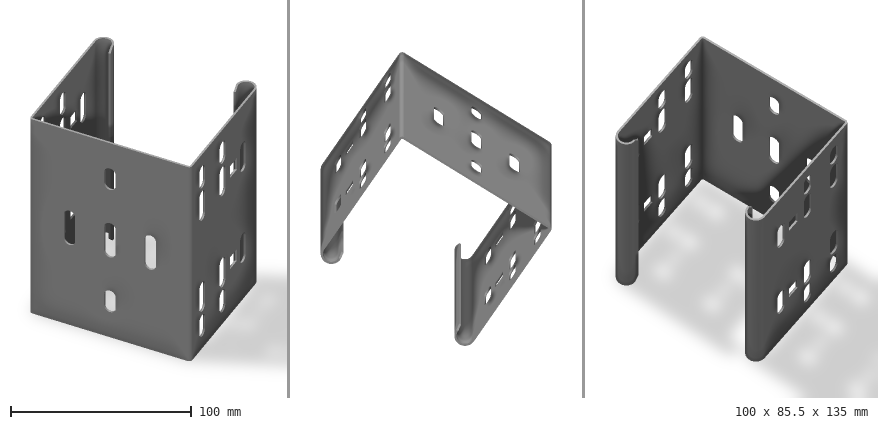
import cadquery as cq

width = 100.0
depth = 85.5
height = 135.0
sheet = 1.25

corner_radius = 2.0
hook_radius = 6.0
hook_lip = 3.2
lip_chamfer = 3.1

slot_width = 7.0
short_slot = 14.8
column_pitch = 25.0

web_long_slot = 23.8
web_short_slot_z = 42.5

flange_long_slot = 20.0
narrow_slot_width = 6.6
inner_row_z = 31.7
outer_row_z = 51.7
first_column = 14.0
square_size = 8.1
square_column = 52.5

half_width = width / 2
web_y = -depth / 2
hook_x = half_width - hook_radius
hook_y = depth / 2 - hook_radius
lip_x = hook_x - hook_radius
lip_end_y = hook_y - hook_lip


def edge_near(x, y, z=0):
    """Selector for the edge closest to a point."""
    return cq.selectors.NearestToPointSelector((x, y, z))


def half_channel():
    """Half of the web and the +X flange, which is rolled inwards at its free end."""
    inner_x = half_width - sheet
    inner_y = web_y + sheet
    inner_hook_radius = hook_radius - sheet

    profile = (
        cq.Workplane("XY")
        .moveTo(0, web_y)
        .lineTo(half_width, web_y)
        .lineTo(half_width, hook_y)
        .threePointArc((hook_x, hook_y + hook_radius), (lip_x, hook_y))
        .lineTo(lip_x, lip_end_y)
        .lineTo(lip_x + sheet, lip_end_y)
        .lineTo(lip_x + sheet, hook_y)
        .threePointArc((hook_x, hook_y + inner_hook_radius), (inner_x, hook_y))
        .lineTo(inner_x, inner_y)
        .lineTo(0, inner_y)
        .close()
    )
    half = profile.extrude(height / 2, both=True)
    half = half.edges(edge_near(half_width, web_y)).fillet(corner_radius)
    half = half.edges(edge_near(inner_x, inner_y)).fillet(corner_radius - sheet)
    for end_z in (-height / 2, height / 2):
        half = half.edges(edge_near(lip_x + sheet / 2, lip_end_y, end_z)).chamfer(lip_chamfer)
    return half


def channel():
    """Complete U-shaped sheet, symmetric about the YZ plane."""
    half = half_channel()
    return half.union(half.mirror("YZ")).clean()


def slot_cutter(plane, points, length, across=slot_width):
    """Upright slots at points on a plane, long enough to pass through the whole part."""
    sketch = cq.Workplane(plane).pushPoints(points)
    return sketch.slot2D(length, across, 90).extrude(width, both=True)


def above_and_below(columns, z):
    """Points in every column at the height z above and below mid-height."""
    return [(column, side * z) for column in columns for side in (-1, 1)]


def cut_web(body):
    """Row of three long slots, with a short slot above and below the middle one."""
    row = [(-column_pitch, 0), (0, 0), (column_pitch, 0)]
    short_slots = above_and_below([0], web_short_slot_z)
    body = body.cut(slot_cutter("XZ", row, web_long_slot))
    return body.cut(slot_cutter("XZ", short_slots, short_slot))


def cut_flanges(body):
    """Slots in three columns and two square holes, through both flanges."""
    column_a = web_y + first_column
    column_b = column_a + column_pitch
    column_c = column_b + column_pitch
    long_slots = above_and_below([column_a, column_b], inner_row_z)
    short_slots = above_and_below([column_a, column_b], outer_row_z)
    narrow_slots = above_and_below([column_c], inner_row_z)
    squares = above_and_below([web_y + square_column], inner_row_z)

    body = body.cut(slot_cutter("YZ", long_slots, flange_long_slot))
    body = body.cut(slot_cutter("YZ", short_slots, short_slot))
    body = body.cut(slot_cutter("YZ", narrow_slots, flange_long_slot, narrow_slot_width))
    square_sketch = cq.Workplane("YZ").pushPoints(squares).rect(square_size, square_size)
    return body.cut(square_sketch.extrude(width, both=True))


result = cut_flanges(cut_web(channel()))